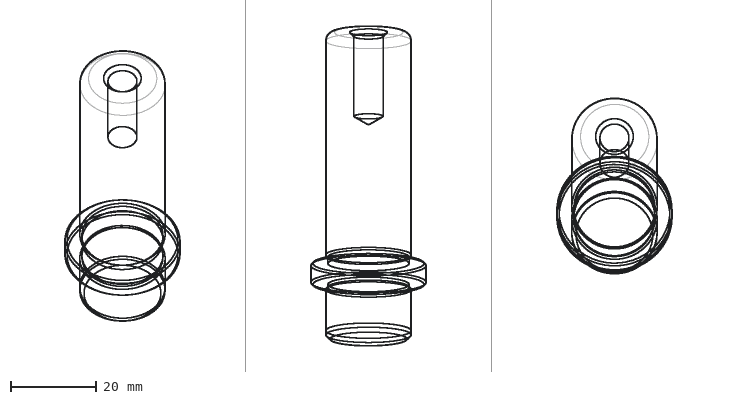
import cadquery as cq
import math

pin_radius = 10.0
total_height = 73.0
tip_fillet = 2.0

foot_chamfer = 1.0
lead_in_height = 2.0
lead_in_radius = 9.99

flange_radius = 13.5
flange_bottom = 13.0
flange_thickness = 5.0
flange_top = flange_bottom + flange_thickness
flange_chamfer = 0.5
relief_depth = 0.5
relief_radius = pin_radius - relief_depth
lower_relief_width = 1.2
upper_relief_width = 2.0

hole_radius = 3.4
hole_depth = 20.0
countersink_radius = 4.4
countersink_depth = countersink_radius - hole_radius
drill_point_angle = 118.0


def turned_body():
    """Revolve the half section of the pin about Z."""
    lower_relief_start = flange_bottom - lower_relief_width
    upper_relief_end = flange_top + upper_relief_width
    fillet_center_radius = pin_radius - tip_fillet
    fillet_center_z = total_height - tip_fillet
    fillet_mid = (
        fillet_center_radius + tip_fillet * math.cos(math.pi / 4),
        fillet_center_z + tip_fillet * math.sin(math.pi / 4),
    )
    section = (
        cq.Workplane("XZ")
        .lineTo(pin_radius - foot_chamfer, 0)
        .lineTo(lead_in_radius, foot_chamfer)
        .lineTo(lead_in_radius, lead_in_height)
        .lineTo(pin_radius, lead_in_height)
        .lineTo(pin_radius, lower_relief_start)
        .lineTo(relief_radius, lower_relief_start + relief_depth)
        .lineTo(relief_radius, flange_bottom)
        .lineTo(flange_radius - flange_chamfer, flange_bottom)
        .lineTo(flange_radius, flange_bottom + flange_chamfer)
        .lineTo(flange_radius, flange_top - flange_chamfer)
        .lineTo(flange_radius - flange_chamfer, flange_top)
        .lineTo(relief_radius, flange_top)
        .lineTo(relief_radius, upper_relief_end - relief_depth)
        .lineTo(pin_radius, upper_relief_end)
        .lineTo(pin_radius, fillet_center_z)
        .threePointArc(fillet_mid, (fillet_center_radius, total_height))
        .lineTo(0, total_height)
        .close()
    )
    return section.revolve(360, (0, 0, 0), (0, 1, 0))


def tip_hole():
    """Countersunk blind hole with a conical drill point, as a solid to cut away."""
    hole_bottom = total_height - hole_depth
    drill_point_height = hole_radius / math.tan(math.radians(drill_point_angle / 2))
    section = (
        cq.Workplane("XZ")
        .moveTo(0, total_height)
        .lineTo(countersink_radius, total_height)
        .lineTo(hole_radius, total_height - countersink_depth)
        .lineTo(hole_radius, hole_bottom)
        .lineTo(0, hole_bottom - drill_point_height)
        .close()
    )
    return section.revolve(360, (0, 0, 0), (0, 1, 0))


result = turned_body().cut(tip_hole())